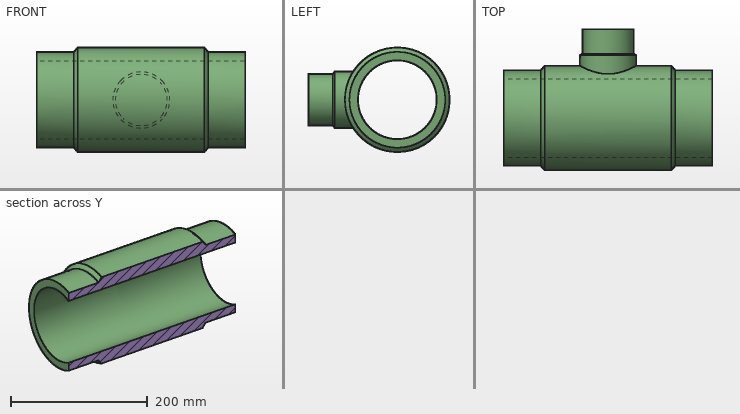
import cadquery as cq

pipe_length = 305.0
pipe_diameter = 140.0
bore_diameter = 114.7

sleeve_length = 196.5
sleeve_diameter = 153.0
sleeve_bevel_length = 5.8

branch_diameter = 75.3
branch_reach = 130.0
collar_diameter = 82.7
collar_reach = 94.2
collar_bevel_length = 2.7


def main_body():
    """Pipe and sleeve, revolved about X; each bevel runs down to the pipe surface."""
    pipe_end = pipe_length / 2
    sleeve_end = sleeve_length / 2
    bevel_start = sleeve_end - sleeve_bevel_length
    pipe_radius = pipe_diameter / 2
    sleeve_radius = sleeve_diameter / 2
    profile = [
        (-pipe_end, 0),
        (-pipe_end, pipe_radius),
        (-sleeve_end, pipe_radius),
        (-bevel_start, sleeve_radius),
        (bevel_start, sleeve_radius),
        (sleeve_end, pipe_radius),
        (pipe_end, pipe_radius),
        (pipe_end, 0),
    ]
    return cq.Workplane("XY").polyline(profile).close().revolve(360, (0, 0, 0), (1, 0, 0))


def side_branch():
    """Branch and its bevelled collar, revolved about Y."""
    branch_radius = branch_diameter / 2
    collar_radius = collar_diameter / 2
    profile = [
        (0, 0),
        (collar_radius, 0),
        (collar_radius, collar_reach - collar_bevel_length),
        (branch_radius, collar_reach),
        (branch_radius, branch_reach),
        (0, branch_reach),
    ]
    return cq.Workplane("XY").polyline(profile).close().revolve(360, (0, 0, 0), (0, 1, 0))


def main_bore():
    """Through bore of the main pipe."""
    return cq.Workplane("YZ").circle(bore_diameter / 2).extrude(pipe_length / 2, both=True)


result = main_body().union(side_branch()).cut(main_bore())